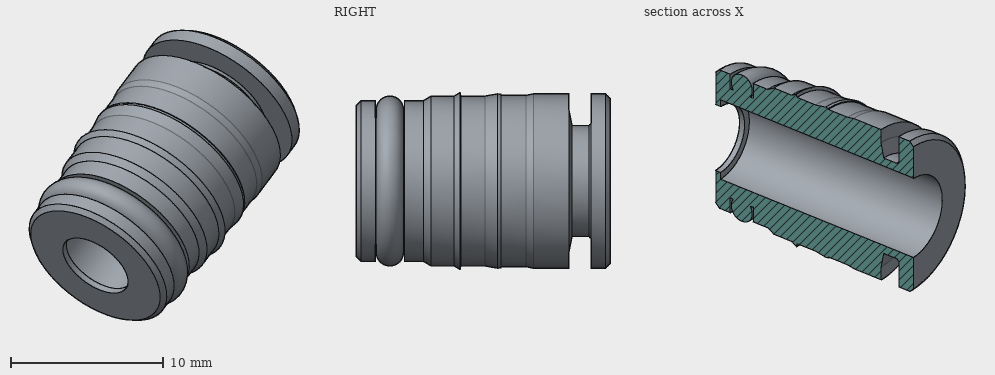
import cadquery as cq
import math

length = 16.7

flange_radius = 5.75
neck_radius = 3.65
sleeve_radius = 5.65
body_radius = 5.6
nose_radius = 5.3
barb_radius = 5.83
low_ridge_radius = 5.71

end_chamfer = 0.32
gland_start = 1.25
gland_end = 3.17
gland_floor_radius = 4.18
ring_section_radius = 0.9
ring_center_at = (gland_start + gland_end) / 2
ring_center_radius = body_radius - ring_section_radius

nose_end = 4.41
body_start = 4.93
barb_start = 6.43
barb_crest_at = 6.83
barb_end = 6.88
ridge_start = 8.45
ridge_crest_at = 9.3
ridge_end = 9.52
taper_start = 11.15
taper_end = 11.65

shoulder_at = 13.98
shoulder_radius = 4.75
neck_start = 14.2
neck_chamfer = 0.15
flange_at = 15.45

lip_radius = 2.5
lip_depth = 0.43
passage_radius = 3.0


def make_shell():
    """Revolve the stepped wall, including the bore and the empty O-ring gland."""
    outline = [
        (lip_radius, 0),
        (nose_radius - end_chamfer, 0),
        (nose_radius, end_chamfer),
        (nose_radius, gland_start),
        (gland_floor_radius, gland_start),
        (gland_floor_radius, gland_end),
        (nose_radius, gland_end),
        (nose_radius, nose_end),
        (body_radius, body_start),
        (body_radius, barb_start),
        (barb_radius, barb_crest_at),
        (body_radius, barb_end),
        (body_radius, ridge_start),
        (flange_radius, ridge_crest_at),
        (low_ridge_radius, ridge_end),
        (sleeve_radius, ridge_end),
        (sleeve_radius, taper_start),
        (flange_radius, taper_end),
        (flange_radius, shoulder_at),
        (shoulder_radius, shoulder_at),
        (neck_radius, neck_start),
        (neck_radius, flange_at - neck_chamfer),
        (neck_radius + neck_chamfer, flange_at),
        (flange_radius, flange_at),
        (flange_radius, length - end_chamfer),
        (flange_radius - end_chamfer, length),
        (passage_radius, length),
        (passage_radius, lip_depth),
        (lip_radius, lip_depth),
    ]
    return cq.Workplane("XY").polyline(outline).close().revolve(360, (0, 0, 0), (0, 1, 0))


def make_o_ring():
    """Revolve the part of the round O-ring section that stands above the gland floor."""
    half_chord = math.sqrt(ring_section_radius**2 - (ring_center_radius - gland_floor_radius) ** 2)
    section = (
        cq.Workplane("XY")
        .moveTo(gland_floor_radius, ring_center_at - half_chord)
        .threePointArc(
            (body_radius, ring_center_at),
            (gland_floor_radius, ring_center_at + half_chord),
        )
        .close()
    )
    return section.revolve(360, (0, 0, 0), (0, 1, 0))


part = make_shell().union(make_o_ring())
result = part.rotate((0, 0, 0), (0, 1, 0), -90).translate((0, -length / 2, 0))